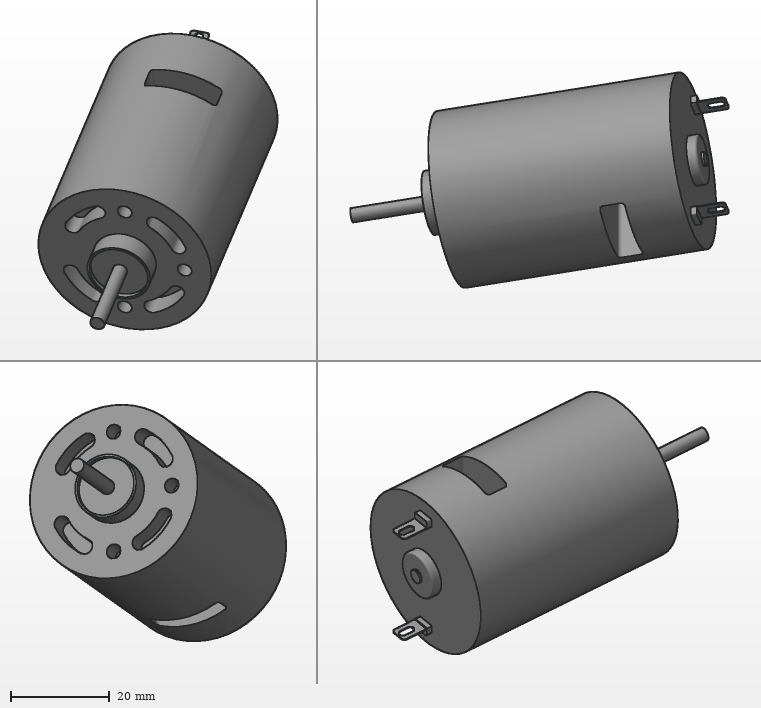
import cadquery as cq
import math


can_radius = 18.2
can_length = 50.65

shaft_diameter = 3.0
shaft_reach = 20.85
front_boss_diameter = 13.2
front_boss_length = 4.6
front_recess_diameter = 12.3
front_recess_depth = 1.0
rear_boss_diameter = 10.4
rear_boss_length = 2.1
rear_boss_fillet = 0.5
shaft_rear_reach = rear_boss_length + 0.5

pitch_radius = 12.6
mount_hole_diameter = 3.0
vent_width = 3.15
opening_depth = 5.0
mount_hole_angles = (0, 90, 270)
vent_count = 4
vent_first_angle = 43.6
vent_half_angle = 17.0

window_width = 15.2
window_length = 5.3
window_offset_x = 2.3
window_from_rear = 14.4
window_corner_radius = 0.8

overall_length = 78.65
terminal_reach = overall_length - shaft_reach - can_length
blade_width = 3.9
blade_thickness = 0.2
blade_height = 13.05
blade_corner_radius = 0.8
eye_width = 1.65
eye_length = 3.6
eye_from_tip = 2.3
base_width = 3.9
base_length = 1.25
base_bottom = 12.8
base_thickness = 2.1
base_edge_fillet = 0.3


def cylinder(diameter, y_start, y_end, x=0, z=0):
    """Cylinder parallel to Y between two Y positions."""
    return cq.Workplane(
        cq.Solid.makeCylinder(diameter / 2, y_end - y_start, cq.Vector(x, y_start, z), cq.Vector(0, 1, 0))
    )


def pitch_point(angle, radius=pitch_radius):
    """X and Z of a point around the motor axis, angle in degrees from +X."""
    return radius * math.cos(math.radians(angle)), radius * math.sin(math.radians(angle))


def curved_vent(centre_angle):
    """Round-ended slot that follows the pitch circle."""
    start = centre_angle - vent_half_angle
    end = centre_angle + vent_half_angle
    inner = pitch_radius - vent_width / 2
    outer = pitch_radius + vent_width / 2
    return (
        cq.Workplane("XZ")
        .moveTo(*pitch_point(start, outer))
        .threePointArc(pitch_point(centre_angle, outer), pitch_point(end, outer))
        .tangentArcPoint(pitch_point(end, inner), relative=False)
        .threePointArc(pitch_point(centre_angle, inner), pitch_point(start, inner))
        .tangentArcPoint(pitch_point(start, outer), relative=False)
        .close()
        .extrude(-opening_depth)
    )


def window():
    """Round-cornered rectangular cutter running right through the can along Z."""
    return (
        cq.Workplane("XY")
        .center(window_offset_x, can_length - window_from_rear)
        .rect(window_width, window_length)
        .extrude(can_radius, both=True)
        .edges("|Z")
        .fillet(window_corner_radius)
    )


def terminal():
    """Upper terminal: a base with rounded edges and a thin blade with an eye."""
    base = cq.Workplane("XY").box(base_width, base_length, base_thickness, centered=(True, False, False))
    base = base.edges("|Y").fillet(base_edge_fillet).translate((0, can_length, base_bottom))
    blade = (
        cq.Workplane("XY")
        .box(blade_width, terminal_reach, blade_thickness, centered=(True, False, False))
        .edges("|Z and >Y")
        .fillet(blade_corner_radius)
    )
    eye = (
        cq.Workplane("XY")
        .center(0, terminal_reach - eye_from_tip)
        .slot2D(eye_length, eye_width, 90)
        .extrude(blade_thickness)
    )
    return base.union(blade.cut(eye).translate((0, can_length, blade_height)))


body = cylinder(2 * can_radius, 0, can_length).cut(window())
for angle in mount_hole_angles:
    hole_x, hole_z = pitch_point(angle)
    body = body.cut(cylinder(mount_hole_diameter, 0, opening_depth, hole_x, hole_z))
for index in range(vent_count):
    body = body.cut(curved_vent(vent_first_angle + index * 360 / vent_count))

front_boss = cylinder(front_boss_diameter, -front_boss_length, 0)
front_boss = front_boss.cut(
    cylinder(front_recess_diameter, -front_boss_length, front_recess_depth - front_boss_length)
)
rear_boss = cylinder(rear_boss_diameter, can_length, can_length + rear_boss_length)
rear_boss = rear_boss.faces(">Y").edges().fillet(rear_boss_fillet)
body = body.union(front_boss).union(rear_boss)

body = body.union(cylinder(shaft_diameter, -shaft_reach, 0))
body = body.union(cylinder(shaft_diameter, can_length, can_length + shaft_rear_reach))

upper_terminal = terminal()
result = body.union(upper_terminal).union(upper_terminal.mirror("XY"))